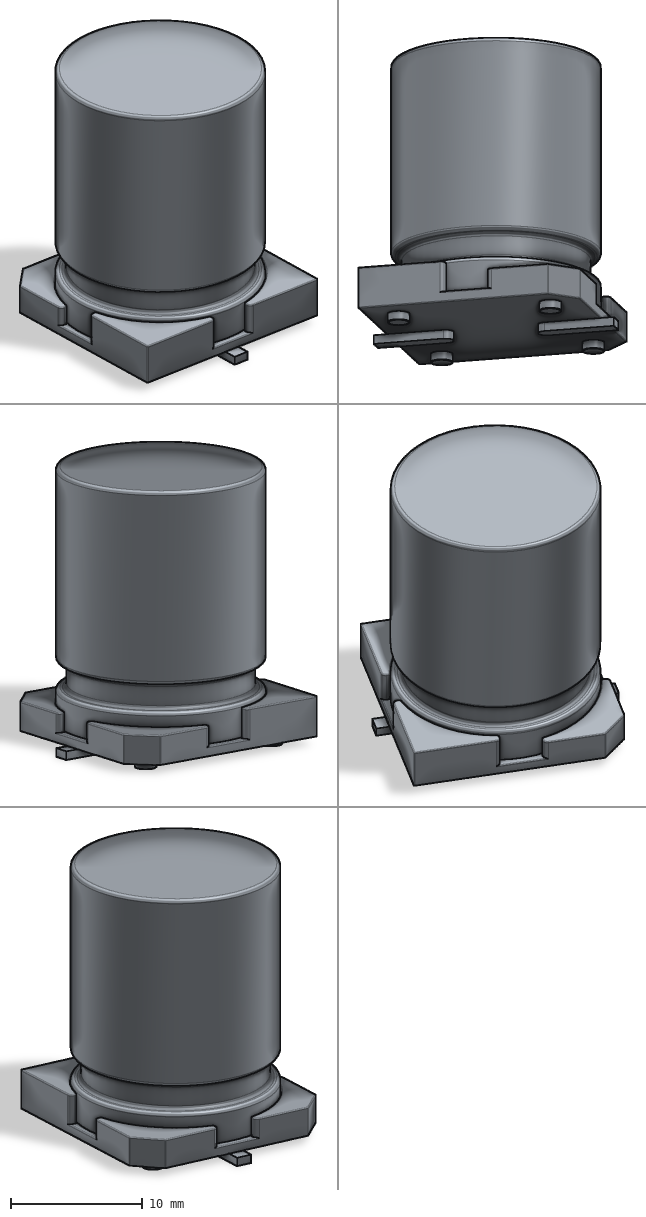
import cadquery as cq
import math

base_size = 17.0
base_half = base_size / 2
base_bottom = 0.69
ledge_top = 1.5
corner_chamfer = 2.0
edge_round = 0.09

low_post_top = 3.05
high_post_top = 3.9
notch_half_width = 1.68
post_outer_fillet = 0.37
post_inner_fillet = 0.2
can_clearance = 0.05

can_radius = 16.0 / 2
neck_radius = 14.4 / 2
can_top = 21.5
shoulder_fillet = 0.3
lower_shoulder = 4.21
upper_shoulder = 6.32

lead_tip = 19.0 / 2
lead_inner_end = 3.35
lead_width = 1.3

foot_diameter = 1.68
foot_offset = 6.0
foot_chamfer = 0.05


def add_shoulder(profile, center_radius, center_z, start_angle, end_angle):
    """Extend a profile by a straight run and a quarter-round shoulder; angles in degrees."""
    points = []
    for angle in (start_angle, (start_angle + end_angle) / 2, end_angle):
        turn = math.radians(angle)
        radius = center_radius + shoulder_fillet * math.cos(turn)
        height = center_z + shoulder_fillet * math.sin(turn)
        points.append((radius, height))
    start, middle, end = points
    return profile.lineTo(*start).threePointArc(middle, end)


def make_can():
    """Revolved can with a rounded neck groove, standing on the notch floor."""
    outer_center = can_radius - shoulder_fillet
    neck_center = neck_radius + shoulder_fillet
    profile = cq.Workplane("XZ").moveTo(0, ledge_top).lineTo(can_radius, ledge_top)
    profile = add_shoulder(profile, outer_center, lower_shoulder - shoulder_fillet, 0, 90)
    profile = add_shoulder(profile, neck_center, lower_shoulder + shoulder_fillet, 270, 180)
    profile = add_shoulder(profile, neck_center, upper_shoulder - shoulder_fillet, 180, 90)
    profile = add_shoulder(profile, outer_center, upper_shoulder + shoulder_fillet, 270, 360)
    profile = add_shoulder(profile, outer_center, can_top - shoulder_fillet, 0, 90)
    return profile.lineTo(0, can_top).close().revolve(360, (0, 0), (0, 1))


def base_block(bottom, top):
    """Square block with its two -X corners chamfered and its upright edges softened."""
    block = cq.Workplane("XY").workplane(offset=bottom).rect(base_size, base_size).extrude(top - bottom)
    return block.edges("|Z and <X").chamfer(corner_chamfer).edges("|Z").fillet(edge_round)


def make_posts(x_side, top):
    """The two corner posts on one X side, with rounded tips beside the notches."""
    post_size = base_half - notch_half_width
    post_center = notch_half_width + post_size / 2
    corners = (
        cq.Workplane("XY")
        .pushPoints([(x_side * post_center, post_center), (x_side * post_center, -post_center)])
        .rect(post_size, post_size)
        .extrude(top)
    )
    bore_radius = can_radius + can_clearance
    bore = cq.Workplane("XY").circle(bore_radius).extrude(top)
    posts = base_block(ledge_top, top).intersect(corners).cut(bore)

    wall_root = math.sqrt(bore_radius ** 2 - notch_half_width ** 2)
    middle_z = (ledge_top + top) / 2
    for distance, radius in ((base_half, post_outer_fillet), (wall_root, post_inner_fillet)):
        for x, y in ((notch_half_width, distance), (distance, notch_half_width)):
            for y_side in (-1, 1):
                on_edge = (x_side * x, y_side * y, middle_z)
                posts = posts.edges(cq.NearestToPointSelector(on_edge)).fillet(radius)
    return posts


def make_base():
    """Plate and corner posts with softened edges."""
    base = base_block(base_bottom, ledge_top)
    base = base.union(make_posts(-1, low_post_top)).union(make_posts(1, high_post_top))

    base = base.faces("<Z or >Z or >Z[-2]").edges().fillet(edge_round)

    for x, y in ((base_half, 0), (-base_half, 0), (0, base_half), (0, -base_half)):
        base = base.edges(cq.NearestToPointSelector((x, y, ledge_top))).fillet(edge_round)
    return base


def make_lead(x_side):
    """Flat lead under the base with a full round at its inner end."""
    half_width = lead_width / 2
    tip = x_side * lead_tip
    round_start = x_side * (lead_inner_end + half_width)
    return (
        cq.Workplane("XY")
        .moveTo(tip, -half_width)
        .lineTo(round_start, -half_width)
        .threePointArc((x_side * lead_inner_end, 0), (round_start, half_width))
        .lineTo(tip, half_width)
        .close()
        .extrude(base_bottom)
    )


def make_feet():
    """Four round feet under the corners of the base, chamfered at the bottom."""
    return (
        cq.Workplane("XY")
        .rect(2 * foot_offset, 2 * foot_offset, forConstruction=True)
        .vertices()
        .circle(foot_diameter / 2)
        .extrude(base_bottom)
        .faces("<Z")
        .chamfer(foot_chamfer)
    )


result = make_base().union(make_can()).union(make_feet())
for lead_side in (-1, 1):
    result = result.union(make_lead(lead_side))